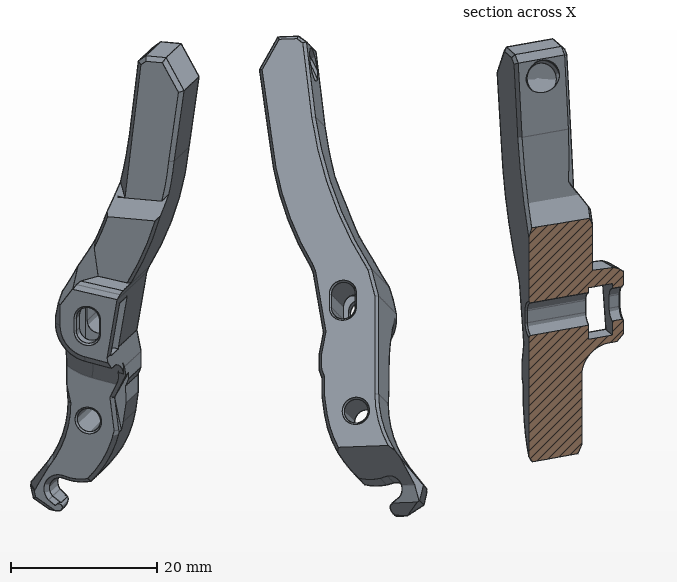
import cadquery as cq
import math


plate_depth = 8.0
middle_depth = 9.6
boss_depth = 14.25
overlap_depth = 4.0
front_chamfer = 0.6
back_chamfer = 0.45

lever_width = 22.1
lever_height = 66.12
top_z = 52.7
wall_x = -3.1
wall_bottom_z = 2.3
wall_top_z = 16.0
right_x = 13.53
left_x = right_x - lever_width
bottom_z = top_z - lever_height
hook_corner_z = -9.86

boss_tilt = 8.0
boss_foot_slope = 10.0
boss_radius = 5.2
boss_arc_z = 15.2
boss_cove = 4.0
boss_chamfer = 1.0

hole_diameter = 3.3
hole_chamfer = 0.25
slot_x = 1.8
slot_z = 15.5
slot_height = 5.1
socket_diameter = 4.3
socket_chamfer = 0.35
socket_depth = 0.45
socket_droop = 18.0
socket_y = -plate_depth / 2
socket_z = 49.05
socket_tip = socket_diameter / 2 * math.tan(math.radians(30))

far = 40.0

upper_wall_top = (6.97, 51.85)
upper_wall_bottom = (5.7, 41.3)


def lever_outline():
    """Outline of the lever in the XZ plane, counter-clockwise from the hook's left corner."""
    return (
        cq.Workplane("XZ")
        .moveTo(left_x, hook_corner_z)
        .lineTo(-8.07, -12.0)
        .lineTo(-5.75, bottom_z)
        .lineTo(-4.2, bottom_z + 0.12)
        .threePointArc((-3.72, -12.75), (-4.1, -12.3))
        .lineTo(-5.3, -11.45)
        .threePointArc((-5.55, -9.55), (-3.9, -8.75))
        .lineTo(-2.9, -9.0)
        .threePointArc((-1.4, -9.1), (0.2, -8.85))
        .threePointArc((3.0, -4.9), (4.46, -0.3))
        .lineTo(4.83, 2.4)
        .lineTo(4.83, 4.9)
        .lineTo(5.2, 5.9)
        .lineTo(5.22, 8.2)
        .lineTo(4.62, 11.2)
        .lineTo(6.05, 19.6)
        .lineTo(6.35, 20.35)
        .threePointArc((10.2, 28.95), (12.1, 38.0))
        .lineTo(right_x, 48.2)
        .lineTo(10.95, top_z)
        .lineTo(8.05, top_z)
        .lineTo(*upper_wall_top)
        .lineTo(*upper_wall_bottom)
        .threePointArc((2.95, 30.25), (-2.1, 19.8))
        .lineTo(wall_x, wall_top_z)
        .lineTo(wall_x, wall_bottom_z)
        .threePointArc((-3.88, -2.45), (-6.1, -6.7))
        .close()
    )


def side_prism(depth_z_points):
    """Prism along X from (depth, Z) points."""
    points = [(-depth, z) for depth, z in depth_z_points]
    return cq.Workplane("YZ").polyline(points).close().extrude(far, both=True)


def tilt(body, degrees, x, z):
    """Turn a body about an axis parallel to Y through (x, z)."""
    return body.rotate((x, 0, z), (x, 1, z), degrees)


def edge_bevel(start, end, depth, side=-1):
    """Tool for a 45 degree bevel at `depth`; its inner edge runs from start up to end.

    Side -1 bevels toward the left, side 1 toward the right.
    """
    leg = 3.0
    run = math.hypot(end[0] - start[0], end[1] - start[1])
    lean = math.degrees(math.atan2(end[0] - start[0], end[1] - start[1]))
    triangle = [(-side * leg, -leg - depth), (side * leg, -leg - depth), (side * leg, leg - depth)]
    tool = cq.Workplane("XY").polyline(triangle).close().extrude(run)
    return tilt(tool, lean, 0, 0).translate((start[0], 0, start[1]))


def make_plate():
    """Chamfered plate whose hook end thins out from the back."""
    plate = lever_outline().extrude(plate_depth)
    hook_tip = cq.selectors.BoxSelector((-5.5, -far, bottom_z - 1), (-3.5, 0, -12.3))
    front_edges = plate.faces("<Y").edges().edges(cq.selectors.InverseSelector(hook_tip))
    plate = front_edges.chamfer(front_chamfer)
    thin_start_z = -5.0
    hook_back = side_prism([
        (0, thin_start_z), (3.3, -9.95), (4.2, -12.2), (7.4, bottom_z), (7.4, -far), (-far, -far),
        (-far, thin_start_z),
    ])
    plate = plate.cut(hook_back)
    hook_edge = cq.selectors.BoxSelector(
        (-far, -0.1, thin_start_z - 0.1), (far, 0.1, thin_start_z + 0.1)
    )
    back_edges = plate.faces(">Y").edges().edges(cq.selectors.InverseSelector(hook_edge))
    return back_edges.chamfer(back_chamfer)


def make_middle():
    """Thicker stretch between the boss and the grip, with a sloped upper end."""
    slope_end_z = 29.9
    slope_rise = 1.5
    low_z = 20.6
    middle_chamfer = 0.42
    profile = side_prism([
        (overlap_depth, low_z), (middle_depth, low_z), (middle_depth, slope_end_z),
        (overlap_depth, slope_end_z + (middle_depth - overlap_depth) * slope_rise),
    ])
    block = lever_outline().extrude(middle_depth).intersect(profile)
    return block.faces("<Y").edges("not |X").chamfer(middle_chamfer)


def make_boss():
    """Boss rising out of the plate through a cove, trimmed to the lever outline."""
    slope = math.radians(boss_foot_slope)
    center_x = wall_x + boss_radius
    foot = (center_x - boss_radius * math.sin(slope), boss_arc_z - boss_radius * math.cos(slope))
    middle_angle = (math.pi / 2 - slope) / 2
    arc_middle = (
        center_x - boss_radius * math.cos(middle_angle),
        boss_arc_z - boss_radius * math.sin(middle_angle),
    )
    reach = far / 2
    block = (
        cq.Workplane("XZ")
        .moveTo(wall_x, far)
        .lineTo(wall_x, boss_arc_z)
        .threePointArc(arc_middle, foot)
        .lineTo(foot[0] + reach, foot[1] - reach * math.tan(slope))
        .lineTo(foot[0] + reach, far)
        .close()
        .extrude(boss_depth)
        .faces("<Y")
        .chamfer(boss_chamfer)
    )
    base = cq.Workplane("XZ").rect(2 * far, 3 * far).extrude(plate_depth)
    block = base.union(block)
    seat = cq.selectors.BoxSelector(
        (-far / 2, -plate_depth - 0.1, -far / 2), (reach, -plate_depth + 0.1, far - 1)
    )
    block = block.edges(seat).fillet(boss_cove)
    roof_z = 28.0
    span = side_prism([
        (overlap_depth, wall_bottom_z), (far, wall_bottom_z), (far, roof_z), (overlap_depth, roof_z),
    ])
    return lever_outline().extrude(boss_depth).intersect(span).intersect(block)


def ledge_cut():
    """Space above the boss ledge, leaving a ramp along the left wall."""
    ledge_z = 21.6
    above = side_prism([
        (plate_depth, ledge_z), (12.7, 21.4), (13.55, 21.05), (boss_depth, 20.5),
        (far, 20.5), (far, far), (plate_depth, far),
    ])
    ramp_x = 1.85
    ramp_run = 0.48
    start_x = ramp_x + ramp_run * (middle_depth - plate_depth)
    end_x = ramp_x - ramp_run * (far - middle_depth)
    right_of_ramp = (
        cq.Workplane("XY")
        .polyline([(start_x, -plate_depth), (far, -plate_depth), (far, -far), (end_x, -far)])
        .close()
        .extrude(2 * far)
    )
    return tilt(above, boss_tilt, 0, ledge_z).intersect(tilt(right_of_ramp, -boss_tilt, ramp_x, ledge_z))


def hook_side_cut():
    """Flat that thins the left back corner of the hook."""
    corner_x = -4.6
    corner_depth = 4.4
    lean = 8.5
    width = corner_x - left_x
    flat = (
        cq.Workplane("XY")
        .polyline([
            (corner_x + width, corner_depth), (corner_x - 2 * width, -2 * corner_depth),
            (corner_x - 2 * width, corner_depth),
        ])
        .close()
        .extrude(far, both=True)
    )
    return tilt(flat, -lean, left_x, hook_corner_z)


def round_cut(diameter, chamfer, depth, stretch=0.0):
    """Hole along Y, lengthened along Z by `stretch`, chamfered at depth zero and at `depth`."""

    def section(size):
        plane = cq.Workplane("XZ")
        if stretch:
            return plane.slot2D(size + stretch, size, 90)
        return plane.circle(size / 2)

    mouth = section(diameter + 2 * chamfer).extrude(chamfer, taper=45)
    far_mouth = mouth.mirror("XZ").translate((0, -depth, 0))
    return section(diameter).extrude(depth).union(mouth).union(far_mouth)


def socket_cut():
    """Blind socket with a drill-point bottom, drooping into the straight upper left wall."""
    radius = socket_diameter / 2
    rim = radius + socket_chamfer
    mouth_reach = 2.0
    body = (
        cq.Workplane("XY")
        .polyline([
            (-mouth_reach, 0), (-mouth_reach, rim), (0, rim), (socket_depth, radius),
            (socket_depth + socket_tip, 0),
        ])
        .close()
        .revolve(360, (0, 0, 0), (1, 0, 0))
    )
    run_x = upper_wall_top[0] - upper_wall_bottom[0]
    run_z = upper_wall_top[1] - upper_wall_bottom[1]
    wall_lean = math.degrees(math.atan2(run_x, run_z))
    socket_x = upper_wall_bottom[0] + run_x * (socket_z - upper_wall_bottom[1]) / run_z
    return tilt(body, wall_lean + socket_droop, 0, 0).translate((socket_x, socket_y, socket_z))


def edge_relief():
    """Relief with a slanted floor in the right edge of the plate, bevelled at its mouth."""
    bevel = 0.5
    mouth_depth = plate_depth - bevel
    floor_depth = 4.0
    corner = (3.6, 3.5)
    upper_end = (6.4, 9.25)
    lower_end = (4.6, -4.2)
    floor_start = (2.9, lower_end[1])
    floor_end = (4.1, upper_end[1])

    def prism(start_depth, length, taper=0):
        return (
            cq.Workplane("XZ", origin=(0, -start_depth, 0))
            .polyline([upper_end, corner, lower_end, (far, lower_end[1]), (far, upper_end[1])])
            .close()
            .extrude(length, taper=taper)
        )

    mouth = prism(mouth_depth, 2 * bevel, -45)
    walls = prism(floor_depth, mouth_depth - floor_depth)
    return mouth.union(walls.intersect(edge_bevel(floor_start, floor_end, mouth_depth, 1)))


def nut_pocket():
    """Pocket behind the boss front wall, open to the right, crossed by the slot."""
    near_depth = 9.0
    far_depth = 12.5
    floor_z = 11.0
    roof_z = 18.6
    span = side_prism([
        (near_depth, floor_z), (far_depth, floor_z), (far_depth, roof_z), (near_depth, roof_z),
    ])
    pocket_left_x = slot_x - hole_diameter / 2 - hole_chamfer
    right_side = cq.Workplane("XY").box(far, far, far, centered=(False, True, False))
    return span.intersect(right_side.translate((pocket_left_x, 0, 0)))


grip_bevel = edge_bevel((5.25, 32.3), (7.55, 51.85), plate_depth)
boss_corner_bevel = edge_bevel((-2.2, 18.0), (1.2, 22.7), boss_depth)
wall_bevel = edge_bevel((wall_x + front_chamfer, wall_bottom_z), (wall_x, 4.9), plate_depth)
hook_bevel = edge_bevel((-7.67, -10.64), (-5.0, -5.9), plate_depth)

result = make_plate().cut(grip_bevel)
result = result.union(make_middle())
result = result.union(make_boss().cut(ledge_cut()))
result = result.cut(boss_corner_bevel)
result = result.cut(wall_bevel)
result = result.cut(hook_bevel)
result = result.cut(hook_side_cut())
result = result.cut(edge_relief())
result = result.cut(round_cut(hole_diameter, hole_chamfer, plate_depth))

slot = round_cut(hole_diameter, hole_chamfer, boss_depth, slot_height - hole_diameter)
result = result.cut(slot.translate((slot_x, 0, slot_z)))
result = result.cut(nut_pocket())
result = result.cut(socket_cut())